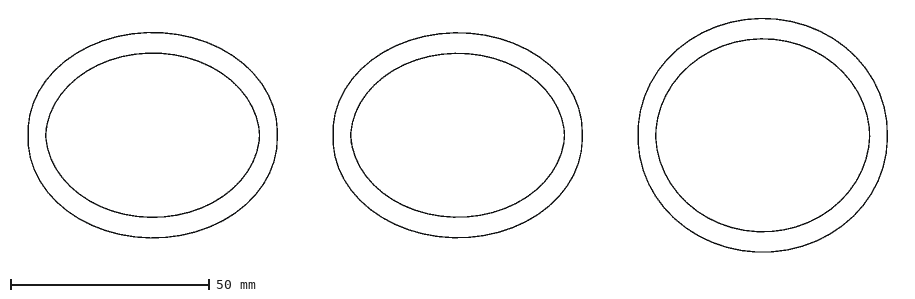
import cadquery as cq

outer_diameter = 63.0
inner_diameter = 54.0
thickness = 3.0
edge_radius = 0.2

ring = (
    cq.Workplane("XY")
    .circle(outer_diameter / 2)
    .circle(inner_diameter / 2)
    .extrude(thickness)
)

result = ring.faces("|Z").edges().fillet(edge_radius)